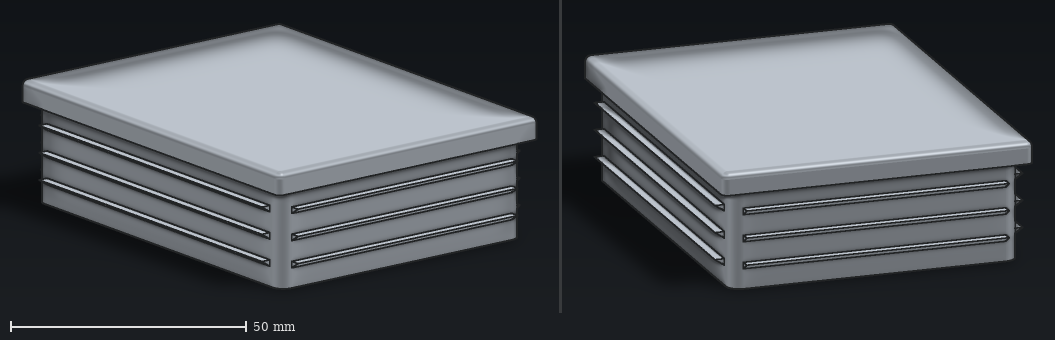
import cadquery as cq

length = 90.0
width = 70.0
height = 27.0

cap_height = 5.0
cap_edge_radius = 1.5

cap_overhang = 2.5
plug_corner_radius = 3.0
plug_length = length - 2 * cap_overhang
plug_width = width - 2 * cap_overhang
plug_height = height - cap_height

rib_count = 3
rib_pitch = 6.0
rib_reach = 2.2
rib_height = 1.4
top_rib_drop = 9.0
long_rib_length = 77.4
short_rib_length = 59.0
rib_root = 0.45


def make_cap():
    """Rectangular cap with rounded vertical corners and top edges."""
    cap = cq.Workplane("XY").workplane(offset=plug_height).rect(length, width).extrude(cap_height)
    return cap.edges("|Z or >Z").fillet(cap_edge_radius)


def make_plug():
    """Solid block with rounded vertical corners, standing on Z = 0."""
    plug = cq.Workplane("XY").rect(plug_length, plug_width).extrude(plug_height)
    return plug.edges("|Z").fillet(plug_corner_radius)


def make_rib(wall_distance, rib_length, top_z):
    """Barbed rib running along X on the -Y wall."""
    profile = [
        (-wall_distance + rib_root, top_z),
        (-wall_distance - rib_reach, top_z),
        (-wall_distance, top_z - rib_height),
        (-wall_distance + rib_root, top_z - rib_height),
    ]
    return cq.Workplane("YZ").polyline(profile).close().extrude(rib_length / 2, both=True)


result = make_plug().union(make_cap())

for level in range(rib_count):
    rib_top = height - top_rib_drop - level * rib_pitch
    long_rib = make_rib(plug_width / 2, long_rib_length, rib_top)
    short_rib = make_rib(plug_length / 2, short_rib_length, rib_top)
    for rib, first_angle in ((long_rib, 0), (short_rib, 90)):
        for angle in (first_angle, first_angle + 180):
            result = result.union(rib.rotate((0, 0, 0), (0, 0, 1), angle))